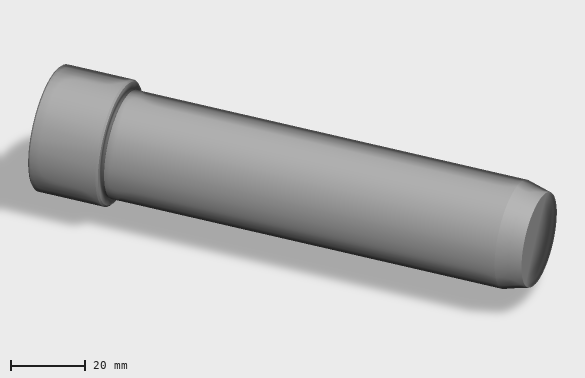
import cadquery as cq
import math

total_length = 140.0
head_diameter = 35.0
head_length = 20.0
head_chamfer = 0.5
shank_diameter = 30.0

groove_radius = 0.5

lead_length = 7.0
lead_half_angle = 15.0

head_radius = head_diameter / 2
shank_radius = shank_diameter / 2


def make_head():
    """Cylindrical head, chamfered on both rims."""
    disc = cq.Workplane("YZ").circle(head_radius).extrude(head_length)
    return disc.faces("<X or >X").chamfer(head_chamfer)


def make_shank():
    """Revolved shank with the relief groove and the conical lead-in."""
    groove_bottom = (head_length + groove_radius, shank_radius - groove_radius)
    groove_end = (head_length + 2 * groove_radius, shank_radius)
    lead_start = total_length - lead_length
    tip_radius = shank_radius - lead_length * math.tan(math.radians(lead_half_angle))
    half_profile = (
        cq.Workplane("XZ")
        .moveTo(head_length, 0)
        .lineTo(head_length, shank_radius)
        .threePointArc(groove_bottom, groove_end)
        .lineTo(lead_start, shank_radius)
        .lineTo(total_length, tip_radius)
        .lineTo(total_length, 0)
        .close()
    )
    return half_profile.revolve(360, (0, 0, 0), (1, 0, 0))


result = make_head().union(make_shank())